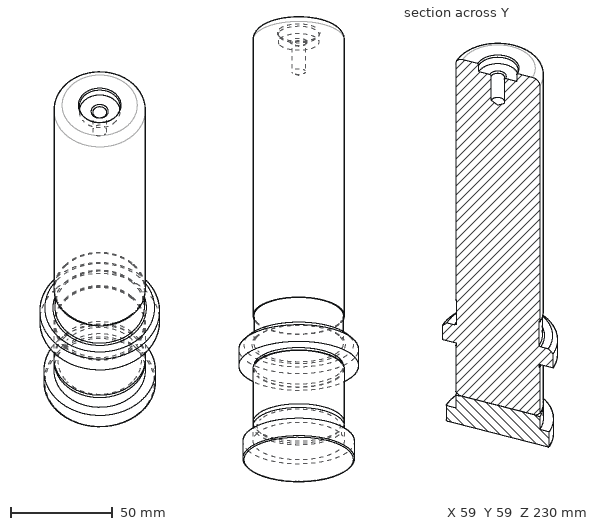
import cadquery as cq
import math

pillar_bottom = 18.0
pillar_top = 230.0
pillar_radius = 22.5
pillar_foot_chamfer = 2.0
pillar_top_fillet = 4.0

collar_radius = 29.5
collar_bottom = 50.5
collar_top = 62.0
collar_chamfer = 2.5
neck_radius = 22.0
neck_top = 77.5
neck_foot_width = 1.0
neck_foot_height = 0.5
relief_radius = 22.0
relief_height = 1.5

recess_radius = 10.0
recess_depth = 5.0
recess_chamfer_width = 0.5
recess_chamfer_depth = 1.0
centre_hole_radius = 3.4
centre_hole_depth = 16.0
centre_hole_chamfer = 0.8
drill_tip_height = 2.0

disc_radius = 27.5
disc_height = 10.0
disc_chamfer = 0.6
spigot_radius = pillar_radius


def build_pillar():
    """Turned pillar: half profile from the foot up, revolved about Z, less the centre hole."""
    fillet_mid_inset = pillar_top_fillet * (1 - math.cos(math.radians(45)))
    body = (
        cq.Workplane("XZ")
        .moveTo(0, pillar_bottom)
        .lineTo(pillar_radius - pillar_foot_chamfer, pillar_bottom)
        .lineTo(pillar_radius, pillar_bottom + pillar_foot_chamfer)
        .lineTo(pillar_radius, collar_bottom - relief_height)
        .lineTo(relief_radius, collar_bottom - relief_height)
        .lineTo(relief_radius, collar_bottom)
        .lineTo(collar_radius, collar_bottom)
        .lineTo(collar_radius, collar_top - collar_chamfer)
        .lineTo(collar_radius - collar_chamfer, collar_top)
        .lineTo(neck_radius + neck_foot_width, collar_top)
        .lineTo(neck_radius, collar_top + neck_foot_height)
        .lineTo(neck_radius, neck_top)
        .lineTo(pillar_radius, neck_top)
        .lineTo(pillar_radius, pillar_top - pillar_top_fillet)
        .threePointArc(
            (pillar_radius - fillet_mid_inset, pillar_top - fillet_mid_inset),
            (pillar_radius - pillar_top_fillet, pillar_top),
        )
        .lineTo(0, pillar_top)
        .close()
        .revolve(360, (0, 0, 0), (0, 1, 0))
    )
    return body.cut(build_centre_hole())


def build_centre_hole():
    """Chamfered recess with a chamfered, drill-pointed hole in its floor."""
    recess_floor = pillar_top - recess_depth
    hole_bottom = recess_floor - centre_hole_depth
    return (
        cq.Workplane("XZ")
        .moveTo(0, pillar_top)
        .lineTo(recess_radius + recess_chamfer_width, pillar_top)
        .lineTo(recess_radius, pillar_top - recess_chamfer_depth)
        .lineTo(recess_radius, recess_floor)
        .lineTo(centre_hole_radius + centre_hole_chamfer, recess_floor)
        .lineTo(centre_hole_radius, recess_floor - centre_hole_chamfer)
        .lineTo(centre_hole_radius, hole_bottom)
        .lineTo(0, hole_bottom - drill_tip_height)
        .close()
        .revolve(360, (0, 0, 0), (0, 1, 0))
    )


def build_retaining_disc():
    """Disc with a chamfered lower rim and a spigot up to the foot of the pillar."""
    disc = cq.Workplane("XY").circle(disc_radius).extrude(disc_height)
    disc = disc.faces("<Z").edges().chamfer(disc_chamfer)
    spigot = cq.Workplane("XY").circle(spigot_radius).extrude(pillar_bottom)
    return disc.union(spigot)


pillar = build_pillar()
retaining_disc = build_retaining_disc()

result = cq.Compound.makeCompound([pillar.val(), retaining_disc.val()])